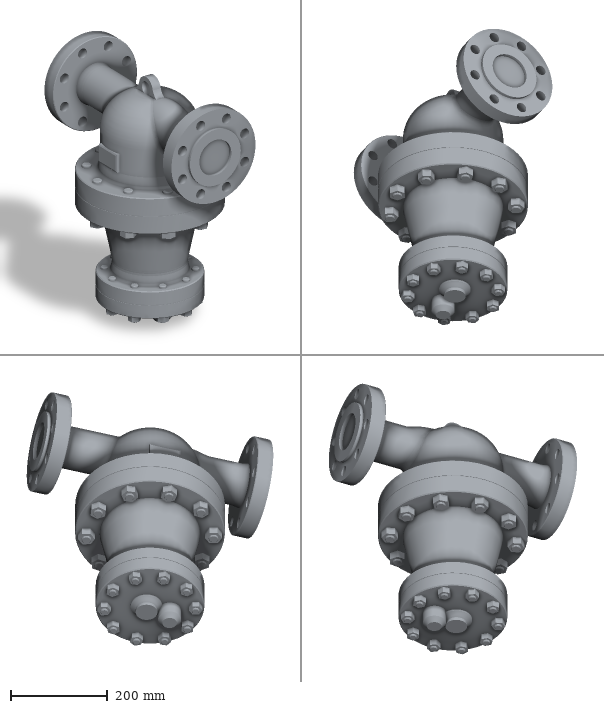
import cadquery as cq
import math

OVERALL_LENGTH = 483.0
OVERALL_HEIGHT = 548.0

HEAD_RADIUS = 104.0
DOME_FLAT_RADIUS = 22.5
DOME_BASE_Z = -26.0
HEAD_BASE_Z = -89.0
HEAD_HUB_RADIUS = 107.0
HEAD_FILLET = 6.0

GIRTH_RADIUS = 155.0
GIRTH_TOP_Z = -113.5
GIRTH_THICKNESS = 40.0
BOTTOM_RADIUS = 112.5
BOTTOM_TOP_Z = -345.0
BOTTOM_THICKNESS = 30.0
GASKET_THICKNESS = 2.0
GASKET_INSET = 1.0
FLANGE_CHAMFER = 2.0

CONE_TOP_Z = -200.0
CONE_BASE_Z = -315.5
CONE_BASE_RADIUS = 79.5
WELD_RADIUS = 157.5 / 2
WELD_TOP_Z = -320.0
WELD_BASE_Z = -325.0
BOTTOM_HUB_RADIUS = 162.5 / 2
BOTTOM_FILLET = 6.0

BOLT_COUNT = 10
FIRST_BOLT_ANGLE = 90.0
STUD_CHAMFER = 1.5
NUT_SIDES = 6
GIRTH_BOLT_RADIUS = 131.5
GIRTH_STUD_DIAMETER = 20.0
GIRTH_NUT_FLATS = 30.0
GIRTH_NUT_HEIGHT = 16.0
GIRTH_STUD_TOP = 5.5
GIRTH_STUD_END = 3.5
BOTTOM_BOLT_RADIUS = 94.5
BOTTOM_STUD_DIAMETER = 16.0
BOTTOM_NUT_FLATS = 24.0
BOTTOM_NUT_HEIGHT = 13.0
BOTTOM_STUD_TOP = 5.5
BOTTOM_STUD_END = 3.5

PIPE_RADIUS = 44.5
PIPE_HUB_RADIUS = 47.5
PIPE_HUB_LENGTH = 19.0
END_FLANGE_RADIUS = 105.0
END_FLANGE_THICKNESS = 33.0
END_FLANGE_CHAMFER = 1.5
RAISED_FACE_RADIUS = 127.0 / 2
RAISED_FACE_HEIGHT = 7.0
END_HOLE_COUNT = 8
END_HOLE_DIAMETER = 22.2
END_HOLE_RING_RADIUS = 84.0
BORE_RADIUS = 40.0
BORE_DEPTH = 8.0
PIPE_FILLET = 10.0
BLEND_BOX_HALF = 60.0
BLEND_BOX_END_X = 98.0

ELBOW_TILT = 22.0
ELBOW_START_X = 122.5
ELBOW_RISE_RADIUS = 70.0
ELBOW_CREST_RADIUS = 122.0
ELBOW_INNER_SWEEP = 25.0
ELBOW_SINK = 0.1

EYE_Z = 69.0
EYE_RADIUS = 25.5
EYE_HOLE_DIAMETER = 30.0
EYE_THICKNESS = 20.0
EYE_FOOT_HALF_WIDTH = 46.0
EYE_FOOT_Z = 53.0
EYE_ROOT_Z = 30.0
EYE_FLARE_X = 33.0
EYE_FLARE_Z = 61.0
EYE_JOIN_ANGLE = 10.0

PAD_WIDTH = 66.5
PAD_HEIGHT = 41.5
PAD_CENTER_Z = -66.0
PAD_FACE_Y = -106.7
PAD_DEPTH = 20.0
PAD_BEVEL = 1.7
PAD_BEVEL_INSET = 3.5

COUPLING_X = -7.5
COUPLING_RADIUS = 22.5
COUPLING_BASE_RADIUS = 33.0
COUPLING_BASE_LENGTH = 3.5
COUPLING_TAPER_LENGTH = 9.0
COUPLING_LENGTH = 19.5
DRAIN_X = 42.5
DRAIN_RADIUS = 24.0
DRAIN_END_RADIUS = 15.0
DRAIN_TAPER_LENGTH = 10.0
DRAIN_END_Z = END_FLANGE_RADIUS - OVERALL_HEIGHT

GIRTH_END_Z = GIRTH_TOP_Z - 2 * GIRTH_THICKNESS - GASKET_THICKNESS
BOTTOM_END_Z = BOTTOM_TOP_Z - 2 * BOTTOM_THICKNESS - GASKET_THICKNESS
FACE_X = OVERALL_LENGTH / 2
END_FLANGE_FRONT_X = FACE_X - RAISED_FACE_HEIGHT
END_FLANGE_BACK_X = END_FLANGE_FRONT_X - END_FLANGE_THICKNESS


def make_head():
    """Dome and cylinder of the vessel head, without its foot."""
    knuckle = HEAD_RADIUS - DOME_FLAT_RADIUS
    diagonal = knuckle * math.sqrt(0.5)
    return (
        cq.Workplane("XZ")
        .moveTo(0, GIRTH_TOP_Z)
        .lineTo(HEAD_RADIUS, GIRTH_TOP_Z)
        .lineTo(HEAD_RADIUS, DOME_BASE_Z)
        .threePointArc(
            (DOME_FLAT_RADIUS + diagonal, DOME_BASE_Z + diagonal),
            (DOME_FLAT_RADIUS, DOME_BASE_Z + knuckle),
        )
        .lineTo(0, DOME_BASE_Z + knuckle)
        .close()
        .revolve(360, (0, 0, 0), (0, 1, 0))
    )


def make_hub(neck_radius, neck_z, hub_radius, fillet, flange_z):
    """Flared foot that widens towards a flange and ends in a concave fillet."""
    bend = fillet * (1 - math.sqrt(0.5))
    return (
        cq.Workplane("XZ")
        .moveTo(0, neck_z)
        .lineTo(neck_radius, neck_z)
        .lineTo(hub_radius, flange_z + fillet)
        .threePointArc((hub_radius + bend, flange_z + bend), (hub_radius + fillet, flange_z))
        .lineTo(0, flange_z)
        .close()
        .revolve(360, (0, 0, 0), (0, 1, 0))
    )


def make_flange_pair(radius, top_z, thickness):
    """Two equal discs with a slightly recessed gasket between them."""
    lower_z = top_z - thickness - GASKET_THICKNESS
    upper = cq.Workplane("XY", origin=(0, 0, top_z)).circle(radius).extrude(-thickness)
    lower = cq.Workplane("XY", origin=(0, 0, lower_z)).circle(radius).extrude(-thickness)
    gasket = (
        cq.Workplane("XY", origin=(0, 0, lower_z))
        .circle(radius - GASKET_INSET)
        .extrude(GASKET_THICKNESS)
    )
    upper = upper.faces(">Z").edges().chamfer(FLANGE_CHAMFER)
    lower = lower.faces("<Z").edges().chamfer(FLANGE_CHAMFER)
    return upper.union(gasket).union(lower)


def make_cone():
    """Tapered vessel section with the weld neck at its lower end."""
    return (
        cq.Workplane("XZ")
        .moveTo(0, GIRTH_END_Z)
        .lineTo(HEAD_RADIUS, GIRTH_END_Z)
        .lineTo(HEAD_RADIUS, CONE_TOP_Z)
        .lineTo(CONE_BASE_RADIUS, CONE_BASE_Z)
        .lineTo(WELD_RADIUS, WELD_TOP_Z)
        .lineTo(WELD_RADIUS, WELD_BASE_Z)
        .lineTo(0, WELD_BASE_Z)
        .close()
        .revolve(360, (0, 0, 0), (0, 1, 0))
    )


def make_bolts(ring_radius, stud, flats, nut_height, top_z, end_z, stud_top, stud_end):
    """Ring of studs through a flange pair, each with a nut underneath."""
    stud_length = top_z + stud_top - end_z + nut_height + stud_end
    stud_base_z = end_z - nut_height - stud_end
    corners = flats / math.cos(math.pi / NUT_SIDES)
    bolt = (
        cq.Workplane("XY", origin=(ring_radius, 0, stud_base_z))
        .circle(stud / 2)
        .extrude(stud_length)
        .faces("<Z or >Z")
        .edges()
        .chamfer(STUD_CHAMFER)
    )
    nut = (
        cq.Workplane("XY", origin=(ring_radius, 0, end_z))
        .polygon(NUT_SIDES, corners)
        .extrude(-nut_height)
    )
    bolt = bolt.union(nut)
    bolts = cq.Workplane("XY")
    for i in range(BOLT_COUNT):
        angle = FIRST_BOLT_ANGLE + i * 360 / BOLT_COUNT
        bolts = bolts.add(bolt.rotate((0, 0, 0), (0, 0, 1), angle))
    return bolts.combine()


def make_pipe(side):
    """Straight pipe from the vessel centre to the end flange on one side."""
    return cq.Workplane("YZ").circle(PIPE_RADIUS).extrude(side * END_FLANGE_BACK_X)


def make_bend(center_x, center_z, offset, start_angle, sweep):
    """Pipe bend about a Y axis; offset is the signed height of the pipe over that axis at angle 0."""
    return (
        cq.Workplane("YZ", origin=(center_x, 0, center_z + offset))
        .circle(PIPE_RADIUS)
        .revolve(sweep, (-1, -offset, 0), (1, -offset, 0))
        .rotate((center_x, 0, center_z), (center_x, 1, center_z), start_angle)
    )


def make_elbow():
    """S-bend from the outlet pipe, over its crest and down into the head.

    It sits a hair low so that it crosses the straight pipe instead of only touching it.
    """
    tilt = math.radians(ELBOW_TILT)
    both_radii = ELBOW_RISE_RADIUS + ELBOW_CREST_RADIUS
    crest_x = ELBOW_START_X - both_radii * math.sin(tilt)
    crest_center_z = ELBOW_RISE_RADIUS - both_radii * math.cos(tilt)
    rise = make_bend(ELBOW_START_X, ELBOW_RISE_RADIUS, -ELBOW_RISE_RADIUS, 0, ELBOW_TILT)
    crest = make_bend(
        crest_x, crest_center_z, ELBOW_CREST_RADIUS,
        -ELBOW_INNER_SWEEP, ELBOW_TILT + ELBOW_INNER_SWEEP,
    )
    return rise.union(crest).translate((0, 0, -ELBOW_SINK))


def make_piped_head():
    """Head with both pipes and the elbow, blended where they meet the head."""
    head = make_head().union(make_pipe(-1)).union(make_pipe(1)).union(make_elbow())
    near_head = cq.selectors.BoxSelector(
        (-HEAD_RADIUS, -BLEND_BOX_HALF, -BLEND_BOX_HALF),
        (BLEND_BOX_END_X, BLEND_BOX_HALF, BLEND_BOX_HALF),
    )
    return head.edges(near_head).edges("%BSPLINE").fillet(PIPE_FILLET)


def make_end_flange():
    """Pipe flange on the +X side with hub, raised face, blind bore and bolt holes."""
    hub_start_x = END_FLANGE_BACK_X - PIPE_HUB_LENGTH
    hub_mid_x = END_FLANGE_BACK_X - PIPE_HUB_LENGTH / 2
    hub_mid_radius = PIPE_RADIUS + (PIPE_HUB_RADIUS - PIPE_RADIUS) / 4
    flange = (
        cq.Workplane("XY")
        .moveTo(hub_start_x, 0)
        .lineTo(hub_start_x, PIPE_RADIUS)
        .threePointArc((hub_mid_x, hub_mid_radius), (END_FLANGE_BACK_X, PIPE_HUB_RADIUS))
        .lineTo(END_FLANGE_BACK_X, END_FLANGE_RADIUS - END_FLANGE_CHAMFER)
        .lineTo(END_FLANGE_BACK_X + END_FLANGE_CHAMFER, END_FLANGE_RADIUS)
        .lineTo(END_FLANGE_FRONT_X, END_FLANGE_RADIUS)
        .lineTo(END_FLANGE_FRONT_X, RAISED_FACE_RADIUS)
        .lineTo(FACE_X, RAISED_FACE_RADIUS)
        .lineTo(FACE_X, BORE_RADIUS)
        .lineTo(FACE_X - BORE_DEPTH, BORE_RADIUS)
        .lineTo(FACE_X - BORE_DEPTH, 0)
        .close()
        .revolve(360, (0, 0, 0), (1, 0, 0))
    )
    holes = (
        cq.Workplane("YZ", origin=(END_FLANGE_BACK_X, 0, 0))
        .polarArray(END_HOLE_RING_RADIUS, 180 / END_HOLE_COUNT, 360, END_HOLE_COUNT)
        .circle(END_HOLE_DIAMETER / 2)
        .extrude(END_FLANGE_THICKNESS)
    )
    return flange.cut(holes)


def make_lifting_eye():
    """Round eye on flared feet standing on the dome."""
    join = math.radians(EYE_JOIN_ANGLE)
    join_x = EYE_RADIUS * math.cos(join)
    join_z = EYE_Z + EYE_RADIUS * math.sin(join)
    return (
        cq.Workplane("XZ", origin=(0, EYE_THICKNESS / 2, 0))
        .moveTo(-EYE_FOOT_HALF_WIDTH, EYE_ROOT_Z)
        .lineTo(-EYE_FOOT_HALF_WIDTH, EYE_FOOT_Z)
        .threePointArc((-EYE_FLARE_X, EYE_FLARE_Z), (-join_x, join_z))
        .threePointArc((0, EYE_Z + EYE_RADIUS), (join_x, join_z))
        .threePointArc((EYE_FLARE_X, EYE_FLARE_Z), (EYE_FOOT_HALF_WIDTH, EYE_FOOT_Z))
        .lineTo(EYE_FOOT_HALF_WIDTH, EYE_ROOT_Z)
        .close()
        .extrude(EYE_THICKNESS)
    )


def make_eye_hole():
    """Round hole through the lifting eye."""
    return (
        cq.Workplane("XZ", origin=(0, EYE_THICKNESS / 2, EYE_Z))
        .circle(EYE_HOLE_DIAMETER / 2)
        .extrude(EYE_THICKNESS)
    )


def make_pad():
    """Rectangular nameplate pad with bevelled edges."""
    return (
        cq.Workplane("XZ", origin=(0, PAD_FACE_Y + PAD_DEPTH, PAD_CENTER_Z))
        .rect(PAD_WIDTH, PAD_HEIGHT)
        .extrude(PAD_DEPTH)
        .faces("<Y")
        .chamfer(PAD_BEVEL, PAD_BEVEL_INSET)
    )


def make_turned(center_x, points):
    """Vertical turned boss; points are (radius, z) along its outline."""
    return (
        cq.Workplane("XZ")
        .moveTo(0, points[0][1])
        .polyline(points, includeCurrent=True)
        .lineTo(0, points[-1][1])
        .close()
        .revolve(360, (0, 0, 0), (0, 1, 0))
        .translate((center_x, 0, 0))
    )


def make_bottom_connections():
    """Coupling and drain spigot below the bottom cover."""
    coupling = make_turned(COUPLING_X, [
        (COUPLING_BASE_RADIUS, BOTTOM_END_Z),
        (COUPLING_BASE_RADIUS, BOTTOM_END_Z - COUPLING_BASE_LENGTH),
        (COUPLING_RADIUS, BOTTOM_END_Z - COUPLING_BASE_LENGTH - COUPLING_TAPER_LENGTH),
        (COUPLING_RADIUS, BOTTOM_END_Z - COUPLING_LENGTH),
    ])
    drain = make_turned(DRAIN_X, [
        (DRAIN_RADIUS, BOTTOM_END_Z),
        (DRAIN_RADIUS, DRAIN_END_Z + DRAIN_TAPER_LENGTH),
        (DRAIN_END_RADIUS, DRAIN_END_Z),
    ])
    return coupling.union(drain)


result = (
    make_piped_head()
    .union(make_hub(HEAD_RADIUS, HEAD_BASE_Z, HEAD_HUB_RADIUS, HEAD_FILLET, GIRTH_TOP_Z))
    .union(make_flange_pair(GIRTH_RADIUS, GIRTH_TOP_Z, GIRTH_THICKNESS))
    .union(make_cone())
    .union(make_hub(WELD_RADIUS, WELD_BASE_Z, BOTTOM_HUB_RADIUS, BOTTOM_FILLET, BOTTOM_TOP_Z))
    .union(make_flange_pair(BOTTOM_RADIUS, BOTTOM_TOP_Z, BOTTOM_THICKNESS))
    .union(make_end_flange())
    .union(make_end_flange().mirror("YZ"))
    .union(make_pad())
    .union(make_bottom_connections())
    .union(make_bolts(
        GIRTH_BOLT_RADIUS, GIRTH_STUD_DIAMETER, GIRTH_NUT_FLATS, GIRTH_NUT_HEIGHT,
        GIRTH_TOP_Z, GIRTH_END_Z, GIRTH_STUD_TOP, GIRTH_STUD_END,
    ))
    .union(make_bolts(
        BOTTOM_BOLT_RADIUS, BOTTOM_STUD_DIAMETER, BOTTOM_NUT_FLATS, BOTTOM_NUT_HEIGHT,
        BOTTOM_TOP_Z, BOTTOM_END_Z, BOTTOM_STUD_TOP, BOTTOM_STUD_END,
    ))
    .union(make_lifting_eye())
    .cut(make_eye_hole())
)